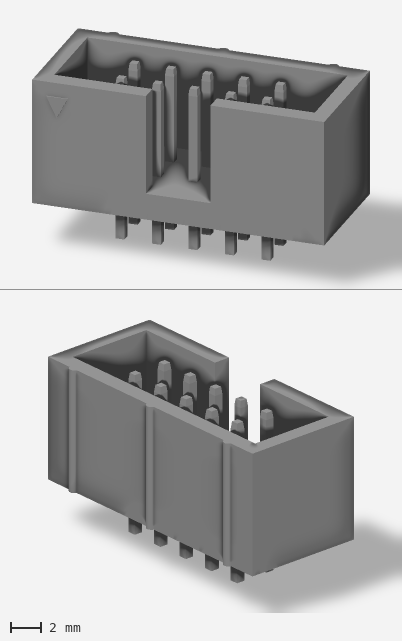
import cadquery as cq

body_length = 20.35
body_depth = 8.85
body_height = 8.85

side_wall = 1.1
front_wall = 1.25
back_wall = 1.2
floor_thickness = 1.85
slot_width = 4.5

pins_per_row = 5
row_count = 2
pin_pitch = 2.55
pin_width = 0.63
pin_tip_width = 0.5
pin_tip_height = 0.49
pin_tip_recess = 0.37
tail_length = 3.0

rib_count = 3
rib_spacing = 7.68
rib_width = 0.71
rib_height = 0.26

marker_size = 1.49
marker_inset = 1.0
marker_height = 0.08

front_y = -body_depth / 2
back_y = body_depth / 2


def box_between(low, high):
    """Box spanning two opposite corners."""
    sizes = [b - a for a, b in zip(low, high)]
    return cq.Workplane("XY").box(*sizes, centered=False).translate(low)


def make_shroud():
    """Open-topped box with a slot in the front wall that reaches the cavity floor."""
    body = box_between((-body_length / 2, front_y, 0), (body_length / 2, back_y, body_height))
    cavity_half = body_length / 2 - side_wall
    cavity_front = front_y + front_wall
    cavity = box_between(
        (-cavity_half, cavity_front, floor_thickness),
        (cavity_half, back_y - back_wall, body_height),
    )
    slot = box_between(
        (-slot_width / 2, front_y, floor_thickness),
        (slot_width / 2, cavity_front, body_height),
    )
    return body.cut(cavity).cut(slot)


def make_pin():
    """Square pin through the floor, with a tapered tip."""
    shank_top = body_height - pin_tip_recess - pin_tip_height
    shank = (
        cq.Workplane("XY", origin=(0, 0, -tail_length))
        .rect(pin_width, pin_width)
        .extrude(shank_top + tail_length)
    )
    tip = (
        cq.Workplane("XY", origin=(0, 0, shank_top))
        .rect(pin_width, pin_width)
        .workplane(offset=pin_tip_height)
        .rect(pin_tip_width, pin_tip_width)
        .loft(ruled=True)
    )
    return shank.union(tip)


def make_rib():
    """Full-height rib with an arc profile, standing on the back wall at X = 0."""
    return (
        cq.Workplane("XY")
        .moveTo(-rib_width / 2, back_y)
        .threePointArc((0, back_y + rib_height), (rib_width / 2, back_y))
        .lineTo(rib_width / 2, back_y - back_wall / 2)
        .lineTo(-rib_width / 2, back_y - back_wall / 2)
        .close()
        .extrude(body_height)
    )


def make_marker():
    """Triangle pointing down, raised on the front wall near its upper left corner."""
    left = -body_length / 2 + marker_inset
    top = body_height - marker_inset
    corners = [
        (left, top),
        (left + marker_size, top),
        (left + marker_size / 2, top - marker_size),
    ]
    return cq.Workplane("XZ", origin=(0, front_y, 0)).polyline(corners).close().extrude(marker_height)


def centred_positions(count, spacing):
    """Evenly spaced positions, symmetric about zero."""
    return [(i - (count - 1) / 2) * spacing for i in range(count)]


result = make_shroud().union(make_marker())

for x in centred_positions(rib_count, rib_spacing):
    result = result.union(make_rib().translate((x, 0, 0)))

for x in centred_positions(pins_per_row, pin_pitch):
    for y in centred_positions(row_count, pin_pitch):
        result = result.union(make_pin().translate((x, y, 0)))